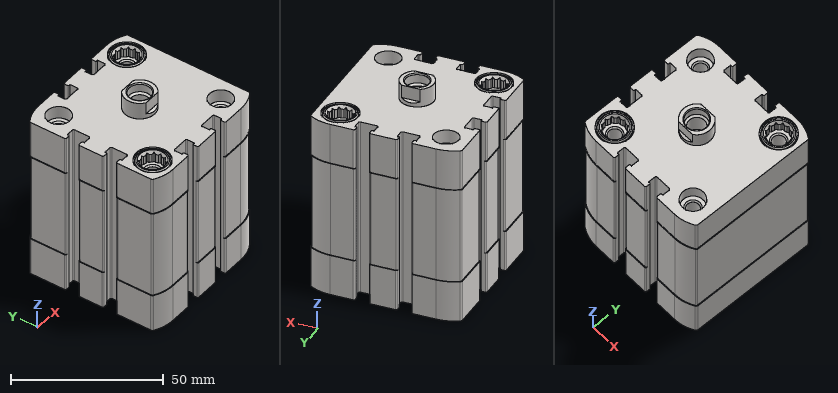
import cadquery as cq
import math

WIDTH = 54.5
TOTAL_HEIGHT = 71.7
HOUSING_HEIGHT = 65.0
CAP_HEIGHT = 15.0
BARREL_INSET = 0.3
SCREW_OFFSET = 19.0
CORNER_RADIUS = 15.0
CORNER_EDGE_ROUND = 1.0
PICK_MARGIN = 0.1

SLOT_OFFSET = 7.6
SLOT_NECK_WIDTH = 5.15
SLOT_INNER_WIDTH = 6.9
SLOT_DEPTH = 5.45
SLOT_LIP = 2.15
SLOT_MOUTH_ROUND = 0.5
SLOT_LIP_ROUND = 0.3
SLOT_CORNER_ROUND = 0.5
SLOT_FACE_ANGLES = (0, 180, 270)

HOLE_DIAMETER = 4.95
HOLE_CHAMFER_DIAMETER = 6.0
COUNTERBORE_DIAMETER = 9.0
COUNTERBORE_DEPTH = 4.95

GROOVE_OUTER_DIAMETER = 12.8
GROOVE_DEPTH = 0.6
GROOVE_BOTTOM_DIAMETER = 11.9
GROOVE_INNER_DIAMETER = 11.05
SOCKET_ENTRY_DIAMETER = 10.05
SOCKET_ENTRY_DEPTH = 1.2
SOCKET_DIAMETER = 8.4
SOCKET_POINT_DIAMETER = 9.2
SOCKET_POINTS = 12
SOCKET_NOTCH_HALF_ANGLE = 8.0
SOCKET_DEPTH = 4.6

ROD_DIAMETER = 12.0
ROD_SEAT_DEPTH = CAP_HEIGHT
FLAT_SPACING = 10.0
FLAT_LENGTH = 4.7
FLAT_RUNOUT_ANGLE = 30.0
BORE_CHAMFER_DIAMETER = 9.0
BORE_DIAMETER = 8.4
BORE_CHAMFER_DEPTH = 0.4
BORE_DEPTH = 3.6
BORE_STEP_HEIGHT = 0.6
CORE_DIAMETER = 6.7
CORE_DEPTH = 11.5
DRILL_POINT_ANGLE = 118.0


def revolved(points):
    """Solid of revolution about Z from (radius, z) points."""
    return cq.Workplane("XZ").polyline(points).close().revolve(360, (0, 0, 0), (0, 1, 0))


def section_block(half, bottom, height):
    """Slotted housing section whose flat sides lie at the distance half from the axis."""
    inset = WIDTH / 2 - half
    arc_radius = CORNER_RADIUS - inset
    arc_centre_y = WIDTH / 2 - CORNER_RADIUS
    arc_x = SCREW_OFFSET
    end_y = arc_centre_y + math.sqrt(arc_radius**2 - (half - arc_x) ** 2)
    block = (
        cq.Workplane("XY")
        .workplane(offset=bottom)
        .moveTo(-arc_x, half)
        .lineTo(arc_x, half)
        .radiusArc((half, end_y), arc_radius)
        .lineTo(half, -end_y)
        .radiusArc((arc_x, -half), arc_radius)
        .lineTo(-arc_x, -half)
        .radiusArc((-half, -end_y), arc_radius)
        .lineTo(-half, end_y)
        .radiusArc((-arc_x, half), arc_radius)
        .close()
        .extrude(height)
    )
    for x_side in (-half, half):
        for y_side in (-end_y, end_y):
            corner = cq.selectors.BoxSelector(
                (x_side - PICK_MARGIN, y_side - PICK_MARGIN, bottom),
                (x_side + PICK_MARGIN, y_side + PICK_MARGIN, bottom + height),
            )
            block = block.edges("|Z").edges(corner).fillet(CORNER_EDGE_ROUND - inset)
    for angle in SLOT_FACE_ANGLES:
        for offset in (-SLOT_OFFSET, SLOT_OFFSET):
            cutter = slot_cutter(half, bottom, height).translate((offset, 0, 0))
            block = block.cut(cutter.rotate((0, 0, 0), (0, 0, 1), angle))
    return block


def slot_cutter(half, bottom, height):
    """T-slot with rounded edges, opening through the -Y side at y = -half."""
    neck = SLOT_NECK_WIDTH / 2
    inner = SLOT_INNER_WIDTH / 2
    floor_y = SLOT_DEPTH - WIDTH / 2
    lip_y = SLOT_LIP - WIDTH / 2
    mouth = SLOT_MOUTH_ROUND
    lip = SLOT_LIP_ROUND
    corner = SLOT_CORNER_ROUND
    return (
        cq.Workplane("XY")
        .workplane(offset=bottom)
        .moveTo(-neck - mouth, -half)
        .radiusArc((-neck, -half + mouth), -mouth)
        .lineTo(-neck, lip_y - lip)
        .radiusArc((-neck - lip, lip_y), -lip)
        .lineTo(-inner, lip_y)
        .lineTo(-inner, floor_y - corner)
        .radiusArc((-inner + corner, floor_y), corner)
        .lineTo(inner - corner, floor_y)
        .radiusArc((inner, floor_y - corner), corner)
        .lineTo(inner, lip_y)
        .lineTo(neck + lip, lip_y)
        .radiusArc((neck, lip_y - lip), -lip)
        .lineTo(neck, -half + mouth)
        .radiusArc((neck + mouth, -half), -mouth)
        .close()
        .extrude(height)
    )


def through_hole(floor_depth):
    """Through hole with a chamfer where it leaves a floor below the top face."""
    radius = HOLE_DIAMETER / 2
    chamfer_radius = HOLE_CHAMFER_DIAMETER / 2
    floor_z = HOUSING_HEIGHT - floor_depth
    return revolved(
        [
            (0, 0),
            (radius, 0),
            (radius, floor_z - (chamfer_radius - radius)),
            (chamfer_radius, floor_z),
            (0, floor_z),
        ]
    )


def counterbored_hole():
    """Chamfered through hole with a plain counterbore from the top face."""
    counterbore = (
        cq.Workplane("XY")
        .workplane(offset=HOUSING_HEIGHT - COUNTERBORE_DEPTH)
        .circle(COUNTERBORE_DIAMETER / 2)
        .extrude(COUNTERBORE_DEPTH)
    )
    return through_hole(COUNTERBORE_DEPTH).union(counterbore)


def socket_hole():
    """Screw socket: groove round its rim, conical entry and a round bore with pointed notches."""
    top = HOUSING_HEIGHT
    floor_z = top - SOCKET_DEPTH
    minor = SOCKET_DIAMETER / 2
    major = SOCKET_POINT_DIAMETER / 2
    entry = SOCKET_ENTRY_DIAMETER / 2
    outer = GROOVE_OUTER_DIAMETER / 2

    groove = revolved(
        [
            (GROOVE_INNER_DIAMETER / 2, top),
            (GROOVE_BOTTOM_DIAMETER / 2, top - GROOVE_DEPTH),
            (outer, top - GROOVE_DEPTH),
            (outer, top),
        ]
    )
    bore = revolved(
        [(0, floor_z), (minor, floor_z), (minor, top - SOCKET_ENTRY_DEPTH), (entry, top), (0, top)]
    )
    half_angle = math.radians(SOCKET_NOTCH_HALF_ANGLE)
    notch_x = minor * math.cos(half_angle)
    notch_y = minor * math.sin(half_angle)
    notch = (
        cq.Workplane("XY")
        .workplane(offset=floor_z)
        .polyline([(0, 0), (notch_x, -notch_y), (major, 0), (notch_x, notch_y)])
        .close()
        .extrude(SOCKET_DEPTH - SOCKET_ENTRY_DEPTH * (entry - major) / (entry - minor))
    )
    for index in range(SOCKET_POINTS):
        turned = notch.rotate((0, 0, 0), (0, 0, 1), index * 360 / SOCKET_POINTS)
        bore = bore.union(turned)
    return through_hole(SOCKET_DEPTH).union(bore).union(groove)


def build_housing():
    """Barrel between two slightly larger end caps, with the corner holes and the rod seat."""
    half = WIDTH / 2
    barrel_top = HOUSING_HEIGHT - CAP_HEIGHT
    housing = (
        section_block(half, 0, CAP_HEIGHT)
        .union(section_block(half - BARREL_INSET, CAP_HEIGHT, barrel_top - CAP_HEIGHT))
        .union(section_block(half, barrel_top, CAP_HEIGHT))
    )
    for side in (-1, 1):
        place = side * SCREW_OFFSET
        housing = housing.cut(counterbored_hole().translate((place, -place, 0)))
        housing = housing.cut(socket_hole().translate((place, place, 0)))
    rod_seat = (
        cq.Workplane("XY")
        .workplane(offset=HOUSING_HEIGHT - ROD_SEAT_DEPTH)
        .circle(ROD_DIAMETER / 2)
        .extrude(ROD_SEAT_DEPTH)
    )
    return housing.cut(rod_seat)


def rod_bore():
    """Stepped bore from the rod's end, with a chamfered mouth and a drill point."""
    top = TOTAL_HEIGHT
    mouth = BORE_CHAMFER_DIAMETER / 2
    bore = BORE_DIAMETER / 2
    core = CORE_DIAMETER / 2
    tip = core / math.tan(math.radians(DRILL_POINT_ANGLE / 2))
    return revolved(
        [
            (0, top),
            (mouth, top),
            (bore, top - BORE_CHAMFER_DEPTH),
            (bore, top - BORE_DEPTH),
            (core, top - BORE_DEPTH - BORE_STEP_HEIGHT),
            (core, top - CORE_DEPTH),
            (0, top - CORE_DEPTH - tip),
        ]
    )


def wrench_flat():
    """Cutter for the flat on the +Y side, with a sloping run-out below it."""
    flat_y = FLAT_SPACING / 2
    flat_z = TOTAL_HEIGHT - FLAT_LENGTH
    outside_y = ROD_DIAMETER
    drop = (outside_y - flat_y) * math.tan(math.radians(FLAT_RUNOUT_ANGLE))
    return (
        cq.Workplane("YZ")
        .polyline(
            [
                (flat_y, TOTAL_HEIGHT),
                (flat_y, flat_z),
                (outside_y, flat_z - drop),
                (outside_y, TOTAL_HEIGHT),
            ]
        )
        .close()
        .extrude(ROD_DIAMETER / 2, both=True)
    )


def build_rod():
    """Piston rod with a stepped bore and two wrench flats."""
    seat_z = HOUSING_HEIGHT - ROD_SEAT_DEPTH
    rod = (
        cq.Workplane("XY")
        .workplane(offset=seat_z)
        .circle(ROD_DIAMETER / 2)
        .extrude(TOTAL_HEIGHT - seat_z)
    )
    rod = rod.cut(rod_bore())
    for angle in (0, 180):
        rod = rod.cut(wrench_flat().rotate((0, 0, 0), (0, 0, 1), angle))
    return rod


housing = build_housing()
piston_rod = build_rod()
result = cq.Compound.makeCompound([housing.val(), piston_rod.val()])